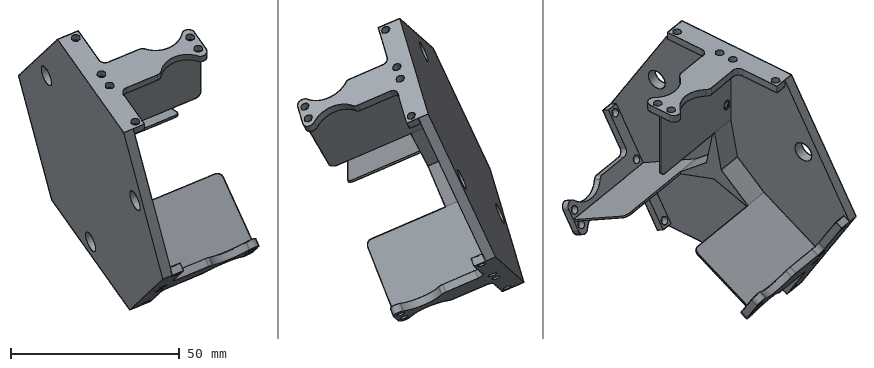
import cadquery as cq
import math

PLATE_THICKNESS = 3.2
SHORT_SIDE_DISTANCE = 39.95
LONG_SIDE_DISTANCE = 37.8
MOUNT_HOLE_DIAMETER = 6.3
MOUNT_HOLE_RADIUS = 31.8

UPPER_ANGLE = 0
LOWER_ANGLES = (120, 240)
BRACKET_ANGLES = (UPPER_ANGLE, *LOWER_ANGLES)
HALF_PITCH = 60
BRACKET_THICKNESS = 2.5
FLANGE_HEIGHT = 7.0
TIP_HEIGHT = 37.0
ARM_HALF_WIDTH = 5.7
WAIST_HALF_WIDTH = 2.0
WAIST_RADIUS = 8.0
CORNER_RADIUS = 2.0

SCREW_DIAMETER = 2.5
FLANGE_HOLE_HEIGHT = 5.0
TIP_HOLE_SETBACK = 2.1
INNER_HOLE_OFFSET = 2.5
END_HOLE_OFFSET = 18.5

WEB_THICKNESS = 0.6
WEB_INNER_RADIUS = 14.5
STAR_HEIGHT = 7.8
STAR_NOTCH_RADIUS = 3.2

SHORT_HALF_LENGTH = (2 * LONG_SIDE_DISTANCE - SHORT_SIDE_DISTANCE) / math.sqrt(3)
BRACKET_INNER_FACE = SHORT_SIDE_DISTANCE - BRACKET_THICKNESS


def spin(point, angle):
    """Turn an (x, z) point about the centre, by degrees, from +Z towards +X."""
    x, z = point
    a = math.radians(angle)
    return (x * math.cos(a) + z * math.sin(a), z * math.cos(a) - x * math.sin(a))


def turn(shape, angle):
    """Turn a solid about the Y axis in the same sense as spin()."""
    return shape.rotate((0, 0, 0), (0, 1, 0), angle)


def extrude_back(sketch_points, start, depth):
    """Closed XZ polygon extruded along +Y from Y = start."""
    plane = cq.Workplane("XZ", origin=(0, start, 0))
    return plane.polyline(sketch_points).close().extrude(-depth)


def base_plate():
    corners = []
    for angle in BRACKET_ANGLES:
        for side in (-1, 1):
            corners.append(spin((side * SHORT_HALF_LENGTH, SHORT_SIDE_DISTANCE), angle))
    hole_centres = [spin((0, -MOUNT_HOLE_RADIUS), angle) for angle in BRACKET_ANGLES]
    holes = (
        cq.Workplane("XZ").pushPoints(hole_centres)
        .circle(MOUNT_HOLE_DIAMETER / 2).extrude(-PLATE_THICKNESS)
    )
    return extrude_back(corners, 0, PLATE_THICKNESS).cut(holes)


def bracket_outline():
    """T outline in XY: a flange, and an arm pinched by two round bites."""
    r = CORNER_RADIUS
    bite_x = WAIST_HALF_WIDTH + WAIST_RADIUS
    round_x = ARM_HALF_WIDTH - r
    reach = WAIST_RADIUS + r
    rise = math.sqrt(reach**2 - (bite_x - round_x) ** 2)
    tip_round_y = TIP_HEIGHT - r
    waist_y = tip_round_y - rise
    shoulder_y = waist_y - rise
    tangent_x = round_x + (bite_x - round_x) * r / reach
    tangent_rise = rise * WAIST_RADIUS / reach
    half_turn = math.atan2(rise, bite_x - round_x) / 2
    mid_x = round_x + r * math.cos(half_turn)
    mid_drop = r * math.sin(half_turn)
    root_x = ARM_HALF_WIDTH + r
    root_y = FLANGE_HEIGHT + r
    diagonal = r * math.sqrt(0.5)

    right_half = (
        cq.Workplane("XY").moveTo(0, 0)
        .lineTo(SHORT_HALF_LENGTH, 0)
        .lineTo(SHORT_HALF_LENGTH, FLANGE_HEIGHT)
        .lineTo(root_x, FLANGE_HEIGHT)
        .threePointArc((root_x - diagonal, root_y - diagonal), (ARM_HALF_WIDTH, root_y))
        .lineTo(ARM_HALF_WIDTH, shoulder_y)
        .threePointArc((mid_x, shoulder_y + mid_drop), (tangent_x, waist_y - tangent_rise))
        .threePointArc((WAIST_HALF_WIDTH, waist_y), (tangent_x, waist_y + tangent_rise))
        .threePointArc((mid_x, tip_round_y - mid_drop), (ARM_HALF_WIDTH, tip_round_y))
        .threePointArc((round_x + diagonal, tip_round_y + diagonal), (round_x, TIP_HEIGHT))
        .lineTo(0, TIP_HEIGHT)
    )
    return right_half.mirrorY()


def screw_bores(centres, depth):
    """Bores along Z that run inwards from the outer face of the upper bracket."""
    return (
        cq.Workplane("XY", origin=(0, 0, SHORT_SIDE_DISTANCE)).pushPoints(centres)
        .circle(SCREW_DIAMETER / 2).extrude(-depth)
    )


def bracket():
    centres = []
    for side in (-1, 1):
        centres.append((side * INNER_HOLE_OFFSET, TIP_HEIGHT - TIP_HOLE_SETBACK))
        centres.append((side * INNER_HOLE_OFFSET, FLANGE_HOLE_HEIGHT))
        centres.append((side * END_HOLE_OFFSET, FLANGE_HOLE_HEIGHT))
    body = bracket_outline().extrude(BRACKET_THICKNESS).translate((0, 0, BRACKET_INNER_FACE))
    return body.cut(screw_bores(centres, BRACKET_THICKNESS))


def web():
    """Thin radial wall with its free inner corner rounded."""
    length = BRACKET_INNER_FACE - WEB_INNER_RADIUS
    wall = cq.Workplane("XY").box(WEB_THICKNESS, TIP_HEIGHT, length, centered=(True, False, False))
    wall = wall.edges(">Y and <Z").fillet(CORNER_RADIUS)
    return wall.translate((0, 0, WEB_INNER_RADIUS))


def star():
    outline = []
    for angle in BRACKET_ANGLES:
        for side in (-1, 1):
            outline.append(spin((side * WEB_THICKNESS / 2, WEB_INNER_RADIUS), angle))
        outline.append(spin((0, STAR_NOTCH_RADIUS), angle + HALF_PITCH))
    return extrude_back(outline, PLATE_THICKNESS, STAR_HEIGHT)


def pierced_web():
    """Upper web, crossed by the bores of the nearest end hole in each lower bracket."""
    wall = web()
    for angle, side in zip(LOWER_ANGLES, (-1, 1)):
        bore = screw_bores([(side * END_HOLE_OFFSET, FLANGE_HOLE_HEIGHT)], 2 * SHORT_SIDE_DISTANCE)
        wall = wall.cut(turn(bore, angle))
    return wall


result = base_plate().union(star()).union(turn(pierced_web(), UPPER_ANGLE))
for angle in LOWER_ANGLES:
    result = result.union(turn(web(), angle))
for angle in BRACKET_ANGLES:
    result = result.union(turn(bracket(), angle))